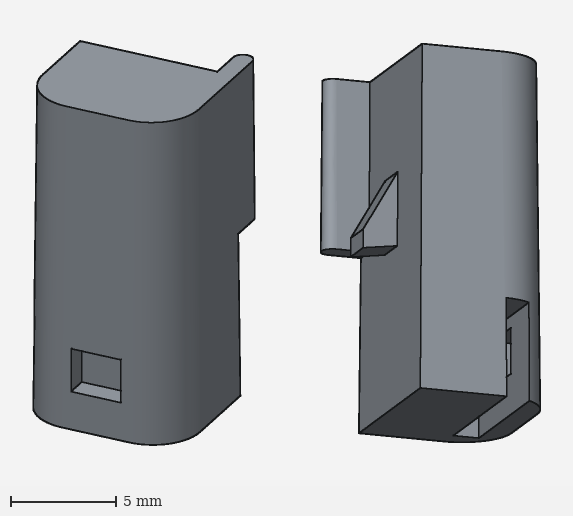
import cadquery as cq
import math

height = 17
base_width = 8.57
base_depth = 6.8
draft_angle = 0.5
front_corner_radius = 2.5
draft_slope = math.tan(math.radians(draft_angle))

arm_bottom = 8.6
arm_height = height - arm_bottom
arm_top_width = 1.0
arm_base_width = arm_top_width + 2 * arm_height * draft_slope
arm_round_center_y = 1.55
arm_overlap = 1.7

catch_width = 1.77
catch_reach = 1.65
catch_tip_bottom = 7.63
catch_tip_top = 8.55
catch_root_bottom = 7.89
catch_root_top = 11.55
catch_overlap = 0.51

slot_height = 4.86
slot_thickness = 1.3
slot_wall = 1.15
slot_front_y = slot_wall - base_depth
slot_back_y = slot_front_y + slot_thickness
slot_right_x = base_width / 2 - slot_wall

window_width = 2.64
window_bottom = 2.0
window_height = 2.26


def wall_lean(level):
    """Distance a body wall has leaned in at a given height."""
    return level * draft_slope


def box_between(x_range, y_range, z_range):
    """Axis-aligned box given by its limits along X, Y and Z."""
    size = [high - low for low, high in (x_range, y_range, z_range)]
    corner = (x_range[0], y_range[0], z_range[0])
    return cq.Workplane("XY").box(*size, centered=False).translate(corner)


def make_body():
    """Drafted block with its two upright front edges rounded."""
    block = (
        cq.Workplane("XY")
        .center(0, -base_depth / 2)
        .rect(base_width, base_depth)
        .extrude(height, taper=draft_angle)
    )
    front_edges = block.faces("<Y").edges("not(#Z or |X)")
    return front_edges.fillet(front_corner_radius)


def make_arm():
    """Drafted arm with a half-round end, flush with the right-hand wall."""
    outer_x = base_width / 2 - wall_lean(arm_bottom)
    inner_x = outer_x - arm_base_width
    middle_x = (outer_x + inner_x) / 2
    round_tip_y = arm_round_center_y + arm_base_width / 2
    return (
        cq.Workplane("XY", origin=(0, 0, arm_bottom))
        .moveTo(inner_x, -arm_overlap)
        .lineTo(outer_x, -arm_overlap)
        .lineTo(outer_x, arm_round_center_y)
        .threePointArc((middle_x, round_tip_y), (inner_x, arm_round_center_y))
        .close()
        .extrude(arm_height, taper=draft_angle)
    )


def make_catch():
    """Wedge with a steep upper ramp and a slightly undercut lower face."""
    profile = [
        (-catch_overlap, catch_root_bottom),
        (-wall_lean(catch_root_bottom), catch_root_bottom),
        (catch_reach, catch_tip_bottom),
        (catch_reach, catch_tip_top),
        (-wall_lean(catch_root_top), catch_root_top),
        (-catch_overlap, catch_root_top),
    ]
    return cq.Workplane("YZ").polyline(profile).close().extrude(catch_width / 2, both=True)


def make_slot():
    """Cutter for the slot, running out past the left-hand wall."""
    return box_between((-base_width, slot_right_x), (slot_front_y, slot_back_y), (0, slot_height))


def make_window():
    """Cutter for the rectangular opening in front of the slot."""
    return box_between(
        (-window_width / 2, window_width / 2),
        (-base_depth, slot_front_y),
        (window_bottom, window_bottom + window_height),
    )


result = make_body().union(make_arm()).union(make_catch()).cut(make_slot()).cut(make_window())